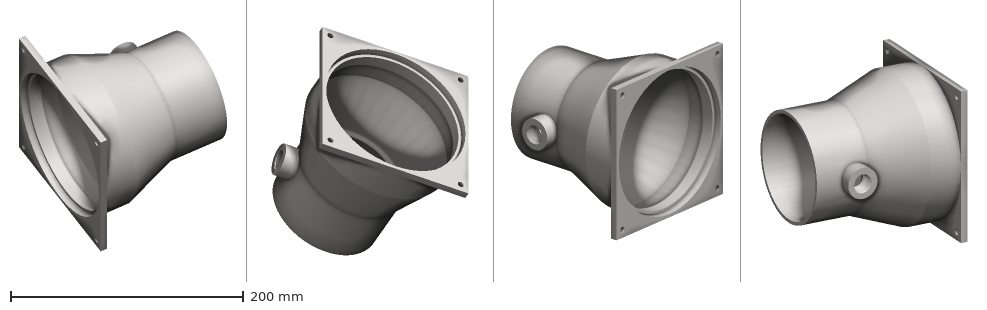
import cadquery as cq
import math

INCH = 25.4

wall = INCH / 8
funnel_diameter = 5.5 * INCH
funnel_bore = funnel_diameter - 2 * wall
pipe_diameter = 4 * INCH
pipe_bore = pipe_diameter - 2 * wall

plate_side = 140.0
plate_thickness = INCH / 4
flange_height = 0.4 * INCH
hole_diameter = 5.5
hole_spacing = 125.0
spigot_length = 0.4 * INCH
spigot_end = flange_height + spigot_length
throat_diameter = 5 * INCH
rim_length = 4.2
rim_radius = 4.4

socket_mouth_diameter = 134.11
socket_floor_diameter = funnel_bore
socket_depth = plate_thickness
relief_width = 0.38
relief_depth = 0.76

skirt_end = flange_height + INCH
cone_end = skirt_end + 2 * INCH
pipe_end = cone_end + 2 * INCH

lip_bore = 3.375 * INCH
lip_thickness = wall
lip_end = cone_end + lip_thickness
lip_fillet = wall

port_diameter = 1.125 * INCH
port_reach = 2.5 * INCH
port_position = pipe_end - 1.5 * INCH
thread_minor_diameter = 16.57
thread_major_diameter = 0.75 * INCH
thread_pitch = INCH / 10
groove_mouth_width = 0.98 * thread_pitch
groove_root_width = 0.12 * thread_pitch
groove_overlap = 0.1


def disc(diameter, start, end):
    """Round bar along Y from start to end."""
    return cq.Workplane("XZ", origin=(0, start, 0)).circle(diameter / 2).extrude(start - end)


def revolve_about_y(points):
    """Revolve a closed outline of (radius, y) points about the Y axis."""
    return cq.Workplane("XY").polyline(points).close().revolve(360, (0, 0, 0), (0, 1, 0))


def port_bar(diameter):
    """Round bar along X from the port face to the pipe axis."""
    face = cq.Workplane("YZ", origin=(-port_reach, port_position, 0))
    return face.circle(diameter / 2).extrude(port_reach)


def make_socket():
    """Tapered socket with the relief groove at the foot of its wall."""
    floor_radius = socket_floor_diameter / 2
    relief_floor = socket_depth + relief_depth
    return revolve_about_y([
        (0, 0),
        (socket_mouth_diameter / 2, 0),
        (floor_radius, relief_floor),
        (floor_radius - relief_width, relief_floor),
        (floor_radius - relief_width, socket_depth),
        (0, socket_depth),
    ])


def make_rim_rounding():
    """Material removed to round the inner edge of the spigot."""
    return (
        cq.Workplane("XY")
        .moveTo(throat_diameter / 2, spigot_end)
        .lineTo(throat_diameter / 2, spigot_end - rim_length)
        .radiusArc((funnel_bore / 2, spigot_end), rim_radius)
        .close()
        .revolve(360, (0, 0, 0), (0, 1, 0))
    )


def make_flange():
    plate = cq.Workplane("XZ").rect(plate_side, plate_side).extrude(-plate_thickness)
    ring = disc(funnel_diameter, 0, flange_height)
    spigot = disc(funnel_bore, 0, spigot_end)
    throat = disc(throat_diameter, 0, spigot_end)
    screw_holes = (
        cq.Workplane("XZ")
        .rect(hole_spacing, hole_spacing, forConstruction=True)
        .vertices()
        .circle(hole_diameter / 2)
        .extrude(-plate_thickness)
    )
    return (
        plate.union(ring)
        .union(spigot)
        .cut(make_socket())
        .cut(throat)
        .cut(make_rim_rounding())
        .cut(screw_holes)
    )


def make_thread_groove():
    """Helical groove along the port, from its face to inside the pipe."""
    inner_radius = thread_minor_diameter / 2 - groove_overlap
    outer_radius = thread_major_diameter / 2
    length = port_reach - pipe_bore / 2 + 2 * thread_pitch
    helix = cq.Wire.makeHelix(thread_pitch, length, inner_radius, lefthand=True)
    groove = (
        cq.Workplane("XZ")
        .polyline([
            (inner_radius, -groove_mouth_width / 2),
            (outer_radius, -groove_root_width / 2),
            (outer_radius, groove_root_width / 2),
            (inner_radius, groove_mouth_width / 2),
        ])
        .close()
        .sweep(cq.Workplane(helix), isFrenet=True)
    )
    return (
        groove
        .rotate((0, 0, 0), (0, 0, 1), 90)
        .rotate((0, 0, 0), (0, 1, 0), 90)
        .translate((-port_reach, port_position, 0))
    )


def make_funnel():
    outside = revolve_about_y([
        (0, flange_height),
        (funnel_diameter / 2, flange_height),
        (funnel_diameter / 2, skirt_end),
        (pipe_diameter / 2, cone_end),
        (pipe_diameter / 2, pipe_end),
        (0, pipe_end),
    ])
    cone_bore = revolve_about_y([
        (0, flange_height),
        (funnel_bore / 2, flange_height),
        (funnel_bore / 2, skirt_end),
        (pipe_bore / 2, cone_end),
        (0, cone_end),
    ]).faces(">Y").edges().fillet(lip_fillet)
    lip_opening = disc(lip_bore, cone_end, lip_end)
    hose_bore = disc(pipe_bore, lip_end, pipe_end)
    return (
        outside.union(port_bar(port_diameter))
        .cut(cone_bore)
        .cut(lip_opening)
        .cut(hose_bore)
        .cut(port_bar(thread_minor_diameter))
        .cut(make_thread_groove())
    )


flange = make_flange()
funnel = make_funnel()
result = cq.Compound.makeCompound([*flange.solids().vals(), *funnel.solids().vals()])